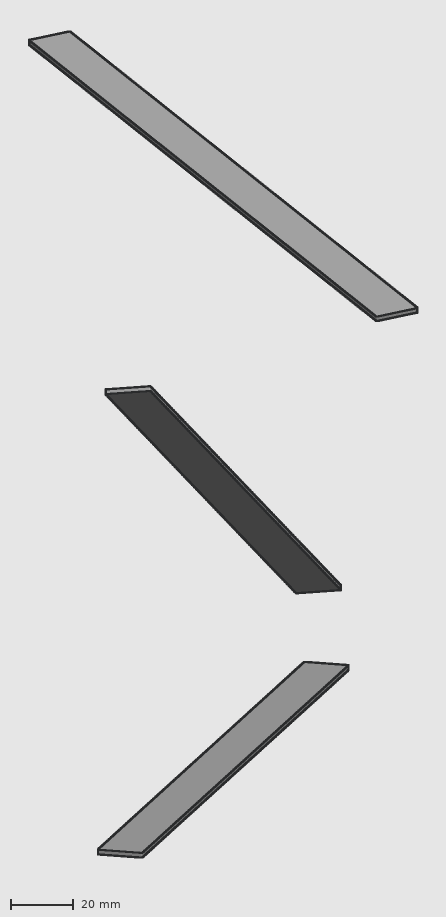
import cadquery as cq

length = 241.4
width = 14.8
thickness = 1.6
corner_radius = 0.4

strip = cq.Workplane("XY").box(length, width, thickness)

result = strip.edges("|Z").fillet(corner_radius)